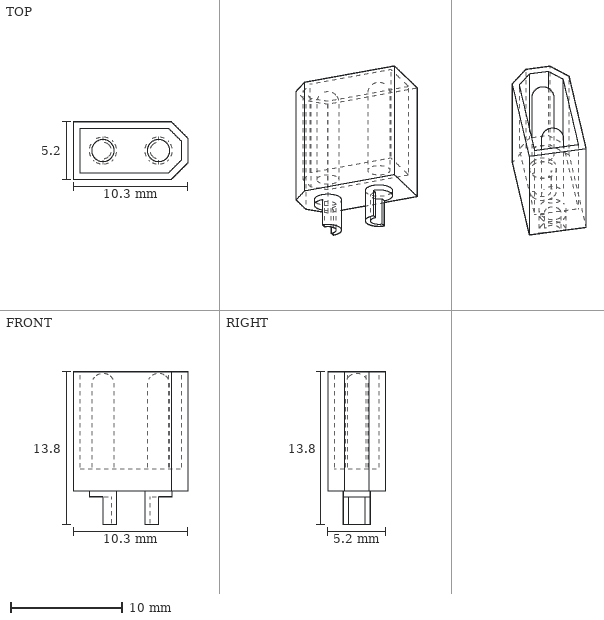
import cadquery as cq
import math

LENGTH = 10.3
WIDTH = 5.2
HEIGHT = 10.75
WALL = 0.6
CORNER_CUT = 1.5
CAVITY_CORNER_CUT = CORNER_CUT - WALL * (2 - math.sqrt(2))
FLOOR_THICKNESS = 2.0

PIN_SPACING = 5.0
PIN_DIAMETER = 2.0
PIN_TIP_DROP = 0.15

CUP_DIAMETER = 2.45
CUP_BORE_DIAMETER = 1.5
COLLAR_HEIGHT = 0.5
CUP_LENGTH = 2.5
TAIL_LENGTH = COLLAR_HEIGHT + CUP_LENGTH


def keyed_prism(length, width, corner_cut, height, base_z):
    """Upright block centred on the Z axis with both +X corners cut off."""
    block = cq.Workplane("XY").workplane(offset=base_z).rect(length, width).extrude(height)
    return block.edges("|Z and >X").chamfer(corner_cut)


def make_housing():
    shell = keyed_prism(LENGTH, WIDTH, CORNER_CUT, HEIGHT, 0)
    cavity = keyed_prism(
        LENGTH - 2 * WALL,
        WIDTH - 2 * WALL,
        CAVITY_CORNER_CUT,
        HEIGHT - FLOOR_THICKNESS,
        FLOOR_THICKNESS,
    )
    return shell.cut(cavity)


def make_pin(x):
    """Round pin with a hemispherical tip, standing on the bottom of the housing."""
    radius = PIN_DIAMETER / 2
    shank_height = HEIGHT - PIN_TIP_DROP - radius
    shank = cq.Workplane("XY").center(x, 0).circle(radius).extrude(shank_height)
    tip = cq.Workplane("XY").sphere(radius).translate((x, 0, shank_height))
    return shank.union(tip)


def make_solder_cup(x):
    """Collar and half-tube tail; the open side of the tail faces away from the other pin."""
    outward = 1 if x > 0 else -1
    tail = cq.Workplane("XY").center(x, 0).circle(CUP_DIAMETER / 2).extrude(-TAIL_LENGTH)
    below_collar = cq.Workplane("XY").workplane(offset=-COLLAR_HEIGHT)
    bore = below_collar.center(x, 0).circle(CUP_BORE_DIAMETER / 2).extrude(-CUP_LENGTH)
    outer_half = (
        below_collar.center(x + outward * CUP_DIAMETER / 2, 0)
        .rect(CUP_DIAMETER, CUP_DIAMETER)
        .extrude(-CUP_LENGTH)
    )
    return tail.cut(bore).cut(outer_half)


result = make_housing()
for pin_x in (-PIN_SPACING / 2, PIN_SPACING / 2):
    result = result.union(make_pin(pin_x)).union(make_solder_cup(pin_x))